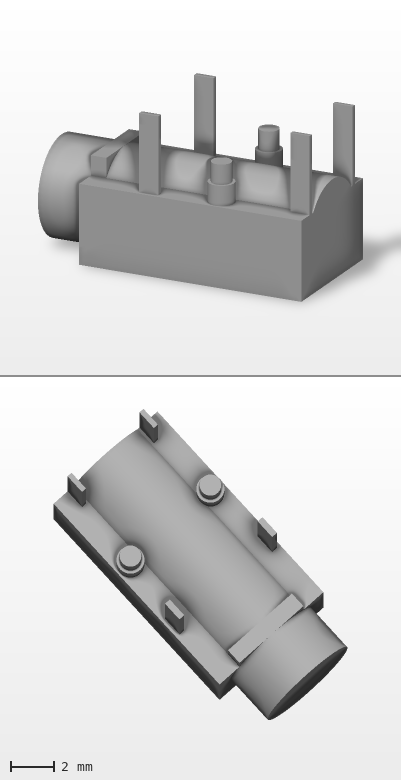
import cadquery as cq
import math

barrel_diameter = 5.0
overall_length = 14.0
nose_length = 2.5
barrel_axis_z = barrel_diameter / 2

housing_width = 6.5
housing_height = 4.0
housing_length = overall_length - nose_length
crown_half_width = math.sqrt((barrel_diameter / 2) ** 2 - (housing_height - barrel_axis_z) ** 2)

collar_length = 0.8
collar_width = 2 * crown_half_width
collar_height = barrel_diameter - housing_height

peg_x = 9.5
peg_y = 2.5
peg_base_diameter = 1.3
peg_tip_diameter = 1.0
peg_base_top_z = 5.0
peg_top_z = 6.0

terminal_top_z = 7.9
terminal_width = 1.0
front_terminal_x = 6.0
front_terminal_y = 2.9
front_terminal_thickness = 0.3
rear_terminal_x = overall_length - terminal_width / 2
rear_terminal_y = 2.25
rear_terminal_thickness = 0.25


def make_box(start_x, center_y, base_z, length, width, height):
    """Box starting at start_x and base_z, centred on center_y."""
    return (
        cq.Workplane("XY")
        .box(length, width, height, centered=(False, True, False))
        .translate((start_x, center_y, base_z))
    )


def make_nose():
    return (
        cq.Workplane("YZ")
        .center(0, barrel_axis_z)
        .circle(barrel_diameter / 2)
        .extrude(nose_length)
    )


def make_housing():
    """Block with the crown of the barrel rising as an arc above its flat top."""
    half_width = housing_width / 2
    return (
        cq.Workplane("YZ", origin=(nose_length, 0, 0))
        .moveTo(-half_width, 0)
        .lineTo(half_width, 0)
        .lineTo(half_width, housing_height)
        .lineTo(crown_half_width, housing_height)
        .threePointArc((0, barrel_diameter), (-crown_half_width, housing_height))
        .lineTo(-half_width, housing_height)
        .close()
        .extrude(housing_length)
    )


def make_collar():
    return make_box(nose_length, 0, housing_height, collar_length, collar_width, collar_height)


def make_peg(side):
    """Stepped peg standing on the housing top; side is +1 or -1 along Y."""
    return (
        cq.Workplane("XY", origin=(peg_x, side * peg_y, housing_height))
        .circle(peg_base_diameter / 2)
        .extrude(peg_base_top_z - housing_height)
        .faces(">Z")
        .workplane()
        .circle(peg_tip_diameter / 2)
        .extrude(peg_top_z - peg_base_top_z)
    )


def make_terminal(center_x, center_y, thickness):
    """Flat upright blade standing on the housing top."""
    start_x = center_x - terminal_width / 2
    height = terminal_top_z - housing_height
    return make_box(start_x, center_y, housing_height, terminal_width, thickness, height)


result = make_nose().union(make_housing()).union(make_collar())
for side in (-1, 1):
    result = result.union(make_peg(side))
    result = result.union(make_terminal(front_terminal_x, side * front_terminal_y, front_terminal_thickness))
    result = result.union(make_terminal(rear_terminal_x, side * rear_terminal_y, rear_terminal_thickness))